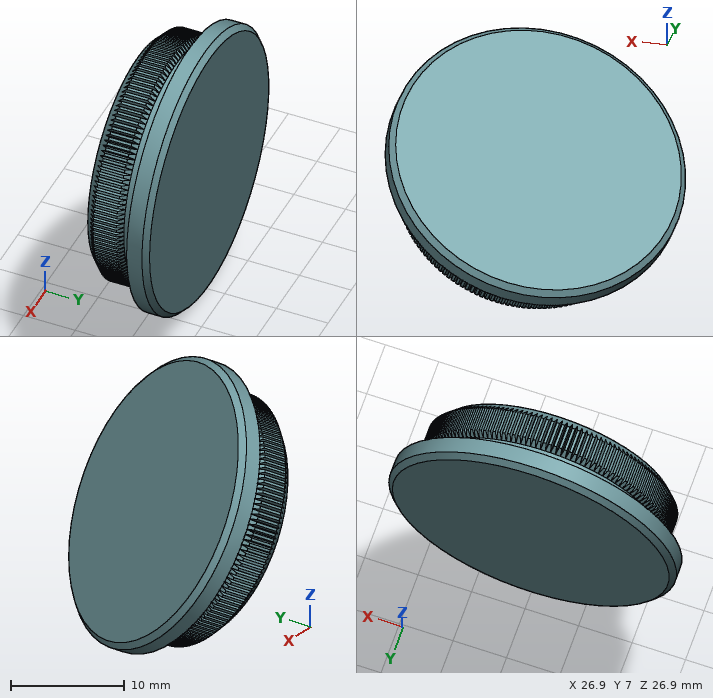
import cadquery as cq

flange_diameter = 26.9
total_length = 7

flange_thickness = 2.0
flange_chamfer = 0.5

neck_diameter = 22.3
neck_length = 1.3

head_diameter = 23.32
front_chamfer = 1.0

groove_count = 150
groove_width = 0.25

flange_radius = flange_diameter / 2
neck_radius = neck_diameter / 2
head_radius = head_diameter / 2

step_depth = head_radius - neck_radius

flange_front = total_length - flange_thickness
head_length = flange_front - neck_length


def turned_body():
    """Head, neck and flange revolved from one half section."""
    return (
        cq.Workplane("XY")
        .lineTo(head_radius - front_chamfer, 0)
        .lineTo(head_radius, front_chamfer)
        .lineTo(head_radius, head_length - step_depth)
        .lineTo(neck_radius, head_length)
        .lineTo(neck_radius, flange_front)
        .lineTo(flange_radius, flange_front)
        .lineTo(flange_radius, total_length - flange_chamfer)
        .lineTo(flange_radius - flange_chamfer, total_length)
        .lineTo(0, total_length)
        .close()
        .revolve(360, (0, 0, 0), (0, 1, 0))
    )


def knurl_grooves():
    """Ring of V-shaped cutters along the head, with a tooth centred on the +Z axis."""
    cutter_radius = neck_radius + 2 * step_depth
    pitch_angle = 360 / groove_count
    groove = (
        cq.Workplane("XZ")
        .moveTo(0, neck_radius)
        .lineTo(groove_width, cutter_radius)
        .lineTo(-groove_width, cutter_radius)
        .close()
        .extrude(-head_length)
        .val()
    )
    grooves = []
    for index in range(groove_count):
        angle = (index + 0.5) * pitch_angle
        grooves.append(groove.rotate(cq.Vector(0, 0, 0), cq.Vector(0, 1, 0), angle))
    return cq.Compound.makeCompound(grooves)


result = turned_body().cut(cq.Workplane(knurl_grooves()))